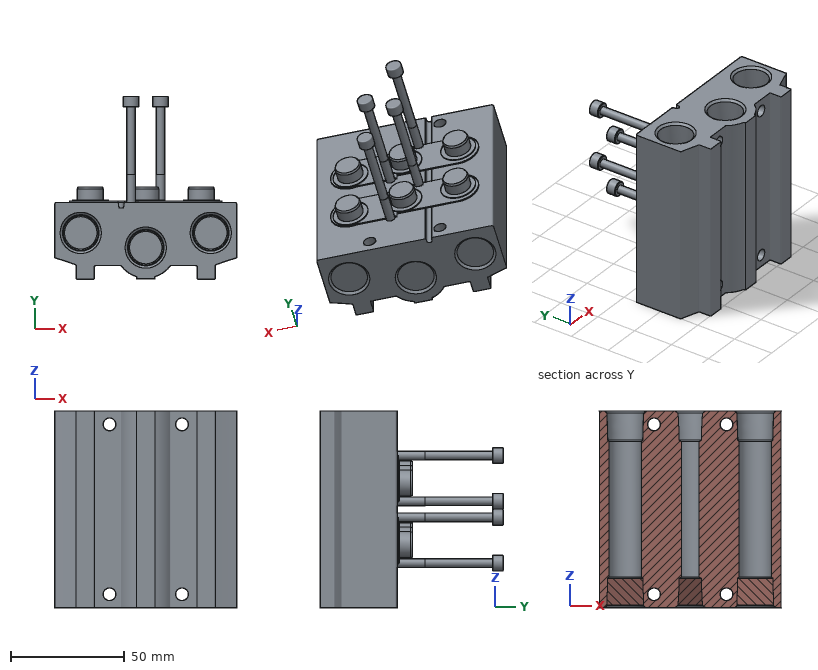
import cadquery as cq
import math


SIDE_BORE_X = 28.7
SIDE_BORE_DEPTH = 13.5
MIDDLE_BORE_DEPTH = 20.0
BORE_DIAMETER = 14.3
PORT_MOUTH_DIAMETER = 18.2
PORT_OUTER_DIAMETER = 16.1
PORT_INNER_DIAMETER = 15.4
PORT_LENGTH = 13.0
MOUTH_DEPTH = (PORT_MOUTH_DIAMETER - PORT_OUTER_DIAMETER) / 2
PORT_STEP = (PORT_INNER_DIAMETER - BORE_DIAMETER) / 2
BORE_CENTRES = [
    (-SIDE_BORE_X, -SIDE_BORE_DEPTH),
    (0, -MIDDLE_BORE_DEPTH),
    (SIDE_BORE_X, -SIDE_BORE_DEPTH),
]

BLOCK_WIDTH = 80.5
BLOCK_HEIGHT = 87.0
BACK_EDGE_RADIUS = 1.0
SHOULDER_DEPTH = 24.5
LEG_ROOT_DEPTH = 27.7
SHOULDER_CROWN = 0.08
SHOULDER_EDGE_RADIUS = 0.4
FLOOR_DEPTH = 28.0
LEG_DEPTH = 34.0
LEG_OUTER_X = 30.7
LEG_WIDTH = 8.0
LEG_INNER_X = LEG_OUTER_X - LEG_WIDTH
LEG_EDGE_RADIUS = 0.5
HUMP_RADIUS = 13.5
HUMP_PAD_DEPTH = 33.8
HUMP_PAD_WIDTH = 8.0
HUMP_EDGE_RADIUS = 0.3
HUMP_HALF_PAD = HUMP_PAD_WIDTH / 2
HUMP_FOOT_X = math.sqrt(HUMP_RADIUS**2 - (FLOOR_DEPTH - MIDDLE_BORE_DEPTH) ** 2)
PAD_ROOT_DEPTH = MIDDLE_BORE_DEPTH + math.sqrt(HUMP_RADIUS**2 - HUMP_HALF_PAD**2)

MOUNT_HOLE_DIAMETER = 5.5
MOUNT_HOLE_X = 16.0
MOUNT_HOLE_Z = 37.5

GROOVE_X = -10.8
GROOVE_WIDTH = 2.4
GROOVE_DEPTH = 2.6
GROOVE_LIP = 0.4
PIN_DIAMETER = 2.8

STATION_PITCH = 27.3
STATION_HEIGHTS = [-STATION_PITCH / 2, STATION_PITCH / 2]

GASKET_THICKNESS = 0.6
GASKET_END_RADIUS = 9.2
GASKET_SHOULDER_X = 3.5
BOSS_SPACING = 24.5
BOSS_STEP = 2.0
BOSS_DIAMETER = 11.6
BOSS_TOP = 6.8
BOSS_BEVEL_LENGTH = 1.0
BOSS_BEVEL_INSET = 0.35
FLANGE_DIAMETER = 15.9
FLANGE_TOP = 1.0
BOSS_OFFSETS = [
    (-BOSS_SPACING, BOSS_STEP),
    (0, 0),
    (BOSS_SPACING, -BOSS_STEP),
]

GASKET_WEB_Z = FLANGE_DIAMETER / 2
GASKET_END_STEP = GASKET_END_RADIUS - GASKET_WEB_Z

SCREW_X = 6.5
SCREW_Z = 10.1
HEAD_DIAMETER = 7.0
HEAD_HEIGHT = 4.8
HEAD_TOP_RADIUS = 0.4
HEAD_UNDERSIDE_CHAMFER = 0.3
HEAD_UNDERSIDE = 42.0
SHANK_DIAMETER = 3.9
THREAD_DIAMETER = 4.0
THREAD_TOP = 12.2
SCREW_EMBEDMENT = 8.0
SCREW_CLEARANCE_DIAMETER = 4.3
SCREW_OFFSETS = [(-SCREW_X, SCREW_Z), (SCREW_X, -SCREW_Z)]


def back_plane(y):
    """Sketch plane facing +Y at height y, with local x = X and local y = -Z."""
    return cq.Plane(origin=(0, y, 0), xDir=(1, 0, 0), normal=(0, 1, 0))


def disc(x, z, y_low, y_high, diameter):
    """Cylinder along Y between two heights."""
    length = y_high - y_low
    return cq.Workplane(back_plane(y_low)).center(x, -z).circle(diameter / 2).extrude(length)


def slab(x_low, x_high, z_low, z_high):
    """Rectangular piece of gasket sheet lying on the back face."""
    size = (x_high - x_low, GASKET_THICKNESS, z_high - z_low)
    return cq.Workplane("XY").box(*size, centered=False).translate((x_low, 0, z_low))


def block_profile():
    """Outline across Z: the right half, mirrored about X = 0."""
    half_width = BLOCK_WIDTH / 2
    foot_angle = math.acos(HUMP_FOOT_X / HUMP_RADIUS)
    pad_angle = math.acos(HUMP_HALF_PAD / HUMP_RADIUS)
    middle_angle = (foot_angle + pad_angle) / 2
    hump_middle = (
        HUMP_RADIUS * math.cos(middle_angle),
        -MIDDLE_BORE_DEPTH - HUMP_RADIUS * math.sin(middle_angle),
    )
    return (
        cq.Workplane("XY")
        .moveTo(0, 0)
        .lineTo(half_width, 0)
        .lineTo(half_width, -SHOULDER_DEPTH)
        .sagittaArc((LEG_OUTER_X, -LEG_ROOT_DEPTH), -SHOULDER_CROWN)
        .lineTo(LEG_OUTER_X, -LEG_DEPTH)
        .lineTo(LEG_INNER_X, -LEG_DEPTH)
        .lineTo(LEG_INNER_X, -FLOOR_DEPTH)
        .lineTo(HUMP_FOOT_X, -FLOOR_DEPTH)
        .threePointArc(hump_middle, (HUMP_HALF_PAD, -PAD_ROOT_DEPTH))
        .lineTo(HUMP_HALF_PAD, -HUMP_PAD_DEPTH)
        .lineTo(0, -HUMP_PAD_DEPTH)
        .mirrorY()
    )


def edges_along_z(body, x, y):
    """The vertical edges of the block at (x, y) and its mirror image."""
    reach = 0.1
    low = cq.Vector(-reach, -reach, -reach)
    high = cq.Vector(reach, reach, reach)
    right_edge = cq.Vector(x, y, 0)
    left_edge = cq.Vector(-x, y, 0)
    right = cq.selectors.BoxSelector((right_edge + low).toTuple(), (right_edge + high).toTuple())
    left = cq.selectors.BoxSelector((left_edge + low).toTuple(), (left_edge + high).toTuple())
    return body.edges(right + left)


def bore_cutter(x, y):
    """Through bore with a chamfered, tapered port at each end."""
    top = BLOCK_HEIGHT / 2
    mouth_bottom = top - MOUTH_DEPTH
    port_bottom = top - PORT_LENGTH
    half = [
        (PORT_MOUTH_DIAMETER / 2, top),
        (PORT_OUTER_DIAMETER / 2, mouth_bottom),
        (PORT_INNER_DIAMETER / 2, port_bottom),
        (BORE_DIAMETER / 2, port_bottom - PORT_STEP),
    ]
    lower = [(radius, -z) for radius, z in reversed(half)]
    outline = cq.Workplane("XZ").polyline([(0, top)] + half + lower + [(0, -top)]).close()
    return outline.revolve(360, (0, 0), (0, 1)).translate((x, y, 0))


def groove_cutter():
    """Round-bottomed groove over the full height, with a bevelled lip."""
    half = GROOVE_WIDTH / 2
    return (
        cq.Workplane("XY", origin=(GROOVE_X, 0, -BLOCK_HEIGHT / 2))
        .moveTo(-half - GROOVE_LIP, 0)
        .lineTo(-half, -GROOVE_LIP)
        .lineTo(-half, half - GROOVE_DEPTH)
        .threePointArc((0, -GROOVE_DEPTH), (half, half - GROOVE_DEPTH))
        .lineTo(half, -GROOVE_LIP)
        .lineTo(half + GROOVE_LIP, 0)
        .close()
        .extrude(BLOCK_HEIGHT)
    )


def make_block():
    body = block_profile().extrude(BLOCK_HEIGHT / 2, both=True)
    body = edges_along_z(body, BLOCK_WIDTH / 2, 0).fillet(BACK_EDGE_RADIUS)
    body = edges_along_z(body, BLOCK_WIDTH / 2, -SHOULDER_DEPTH).fillet(SHOULDER_EDGE_RADIUS)
    leg_edges = [
        (LEG_OUTER_X, LEG_ROOT_DEPTH),
        (LEG_OUTER_X, LEG_DEPTH),
        (LEG_INNER_X, LEG_DEPTH),
        (LEG_INNER_X, FLOOR_DEPTH),
    ]
    for x, depth in leg_edges:
        body = edges_along_z(body, x, -depth).fillet(LEG_EDGE_RADIUS)
    hump_edges = [(HUMP_FOOT_X, FLOOR_DEPTH), (HUMP_HALF_PAD, PAD_ROOT_DEPTH)]
    for x, depth in hump_edges:
        body = edges_along_z(body, x, -depth).fillet(HUMP_EDGE_RADIUS)

    for x, y in BORE_CENTRES:
        body = body.cut(bore_cutter(x, y))
    for x in (-MOUNT_HOLE_X, MOUNT_HOLE_X):
        for z in (-MOUNT_HOLE_Z, MOUNT_HOLE_Z):
            body = body.cut(disc(x, z, -LEG_DEPTH, 0, MOUNT_HOLE_DIAMETER))

    body = body.cut(groove_cutter())
    for height in STATION_HEIGHTS:
        body = body.cut(disc(GROOVE_X, height, -GROOVE_DEPTH, 0, PIN_DIAMETER))
        for x, z in SCREW_OFFSETS:
            body = body.cut(disc(x, height + z, -SCREW_EMBEDMENT, 0, THREAD_DIAMETER))
    return body


def make_plug(x, y):
    """Tapered plug that fills the bottom port of a bore."""
    z_low = -BLOCK_HEIGHT / 2 + MOUTH_DEPTH
    z_high = -BLOCK_HEIGHT / 2 + PORT_LENGTH
    outline = [
        (0, z_low),
        (PORT_OUTER_DIAMETER / 2, z_low),
        (PORT_INNER_DIAMETER / 2, z_high),
        (0, z_high),
    ]
    plug = cq.Workplane("XZ").polyline(outline).close().revolve(360, (0, 0), (0, 1))
    return plug.translate((x, y, 0))


def gasket_sheet():
    """Flat sheet with round ends, and a straight-edged shoulder reaching out to each screw."""
    sheet = slab(-BOSS_SPACING, BOSS_SPACING, -GASKET_WEB_Z, GASKET_WEB_Z)
    sheet = sheet.union(slab(-BOSS_SPACING, -GASKET_SHOULDER_X, 0, SCREW_Z))
    sheet = sheet.union(slab(GASKET_SHOULDER_X, BOSS_SPACING, -SCREW_Z, 0))
    for side in (-1, 1):
        x = side * BOSS_SPACING
        z = -side * GASKET_END_STEP
        end = disc(x, z, 0, GASKET_THICKNESS, 2 * GASKET_END_RADIUS)
        sheet = sheet.union(end)
    return sheet


def sealing_boss(x, z):
    """Flanged round boss with a bevelled rim."""
    radius = BOSS_DIAMETER / 2
    outline = [
        (0, 0),
        (FLANGE_DIAMETER / 2, 0),
        (FLANGE_DIAMETER / 2, FLANGE_TOP),
        (radius, FLANGE_TOP),
        (radius, BOSS_TOP - BOSS_BEVEL_LENGTH),
        (radius - BOSS_BEVEL_INSET, BOSS_TOP),
        (0, BOSS_TOP),
    ]
    boss = cq.Workplane("XY").polyline(outline).close().revolve(360, (0, 0), (0, 1))
    return boss.translate((x, 0, z))


def make_gasket(height):
    gasket = gasket_sheet()
    for x, z in BOSS_OFFSETS:
        gasket = gasket.union(sealing_boss(x, z))
    gasket = gasket.union(disc(GROOVE_X, 0, -GROOVE_DEPTH, GASKET_THICKNESS, PIN_DIAMETER))
    for x, z in SCREW_OFFSETS:
        gasket = gasket.cut(disc(x, z, 0, BOSS_TOP, SCREW_CLEARANCE_DIAMETER))
    return gasket.translate((0, 0, height))


def make_screw(x, z):
    head = disc(x, z, HEAD_UNDERSIDE, HEAD_UNDERSIDE + HEAD_HEIGHT, HEAD_DIAMETER)
    head = head.edges(">Y").fillet(HEAD_TOP_RADIUS)
    head = head.edges("<Y").chamfer(HEAD_UNDERSIDE_CHAMFER)
    shank = disc(x, z, THREAD_TOP, HEAD_UNDERSIDE, SHANK_DIAMETER)
    thread = disc(x, z, -SCREW_EMBEDMENT, THREAD_TOP, THREAD_DIAMETER)
    return head.union(shank).union(thread)


block = make_block()
plugs = [make_plug(x, y) for x, y in BORE_CENTRES]
gaskets = [make_gasket(height) for height in STATION_HEIGHTS]
screws = [make_screw(x, height + z) for height in STATION_HEIGHTS for x, z in SCREW_OFFSETS]

result = cq.Compound.makeCompound(
    [block.val()]
    + [plug.val() for plug in plugs]
    + [gasket.val() for gasket in gaskets]
    + [screw.val() for screw in screws]
)